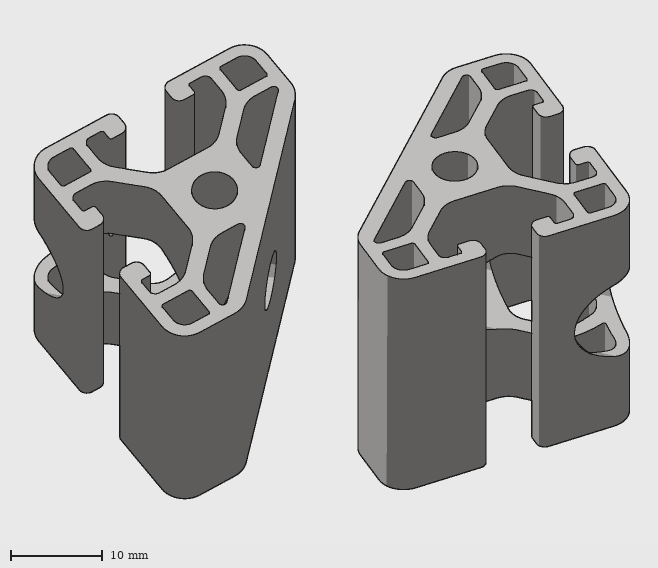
import math

import cadquery as cq

size = 30.0
length = 30.0
middle = size / 2
diagonal_cut = 38.8
outer_radius = 3.0

wall = 1.5
sloping_wall = 2.0
core_half = 5.2
edge_radius = 0.3

slot_half_opening = 3.1
lip_width = 2.5
lip_height = 3.0
lip_radius = 1.0
slot_half_width = 8.125
slot_floor = middle - core_half
slot_slope_end = 3.8
slope_radius = 3.0
slot_corner_radius = 0.8

tip_radius = 0.5

tube_end = middle - slot_half_width - wall
tube_radius = outer_radius - wall

bore_diameter = 5.0
access_hole_diameter = 6.6
counterbore_diameter = 11.0
counterbore_floor = middle * math.sqrt(2) + bore_diameter / 2


def rounded_outline(corners):
    """Closed wire through (x, y, radius) corners, each rounded by a tangent arc."""
    starts, middles, ends = [], [], []
    count = len(corners)
    for i, (x, y, radius) in enumerate(corners):
        corner = cq.Vector(x, y)
        before = (cq.Vector(*corners[i - 1][:2]) - corner).normalized()
        after = (cq.Vector(*corners[(i + 1) % count][:2]) - corner).normalized()
        half_angle = before.getAngle(after) / 2
        reach = radius / math.tan(half_angle)
        inset = radius / math.sin(half_angle) - radius
        starts.append(corner + before * reach)
        middles.append(corner + (before + after).normalized() * inset)
        ends.append(corner + after * reach)

    edges = []
    for i in range(count):
        edges.append(cq.Edge.makeThreePointArc(starts[i], middles[i], ends[i]))
        edges.append(cq.Edge.makeLine(ends[i], starts[(i + 1) % count]))
    return cq.Wire.assembleEdges(edges)


def prism(corners):
    """Rounded outline extruded over the full length of the profile."""
    return cq.Workplane(cq.Solid.extrudeLinear(rounded_outline(corners), [], cq.Vector(0, 0, length)))


def mirrored(corners):
    """Corners reflected across the line y = x, in reversed order."""
    return [(y, x, radius) for x, y, radius in reversed(corners)]


def slot_corners():
    """T-slot in the -Y face, from its left mouth edge to its right one."""
    slope_rise = slot_half_width - slot_slope_end
    half = [
        (slot_half_opening, 0, lip_radius),
        (slot_half_opening, lip_height, lip_radius),
        (slot_half_opening + lip_width, lip_height, edge_radius),
        (slot_half_opening + lip_width, wall, edge_radius),
        (slot_half_width, wall, slot_corner_radius),
        (slot_half_width, slot_floor - slope_rise, slope_radius),
        (slot_slope_end, slot_floor, slope_radius),
    ]
    left = [(middle - offset, y, radius) for offset, y, radius in half]
    right = [(middle + offset, y, radius) for offset, y, radius in reversed(half)]
    return left + right


def profile_body():
    """Outer shape of the section with both T-slots in its outline."""
    cut_start = diagonal_cut - size
    slot = slot_corners()
    return prism(
        [(0, 0, outer_radius)]
        + slot
        + [
            (size, 0, outer_radius),
            (size, cut_start, outer_radius),
            (cut_start, size, outer_radius),
            (0, size, outer_radius),
        ]
        + mirrored(slot)
    )


def corner_tube(x, y, x_direction, y_direction):
    """Square tube cavity in the corner at (x, y), opening towards the given directions."""
    near_x = x + wall * x_direction
    near_y = y + wall * y_direction
    far_x = x + tube_end * x_direction
    far_y = y + tube_end * y_direction
    return prism([
        (near_x, near_y, tube_radius),
        (far_x, near_y, edge_radius),
        (far_x, far_y, edge_radius),
        (near_x, far_y, edge_radius),
    ])


def sloping_cavity_corners():
    """Cavity between the sloping outer face and the T-slot in the -X face."""
    left = middle - slot_half_width
    bottom = middle + core_half
    outer_sum = diagonal_cut - sloping_wall * math.sqrt(2)
    slot_slope_sum = slot_floor + middle + slot_slope_end
    inner_sum = slot_slope_sum + sloping_wall * math.sqrt(2)
    return [
        (left, inner_sum - left, slope_radius),
        (inner_sum - bottom, bottom, slope_radius),
        (outer_sum - bottom, bottom, tip_radius),
        (left, outer_sum - left, tip_radius),
    ]


def access_hole(diameter, depth):
    """Cylinder at mid length, running from the square corner along y = x."""
    start = cq.Vector(0, 0, length / 2)
    return cq.Workplane(cq.Solid.makeCylinder(diameter / 2, depth, start, cq.Vector(1, 1, 0)))


result = profile_body()

for tube in (corner_tube(0, 0, 1, 1), corner_tube(size, 0, -1, 1), corner_tube(0, size, 1, -1)):
    result = result.cut(tube)

cavity = sloping_cavity_corners()
result = result.cut(prism(cavity)).cut(prism(mirrored(cavity)))

bore = cq.Workplane().center(middle, middle).circle(bore_diameter / 2).extrude(length)
result = result.cut(bore)

result = result.cut(access_hole(counterbore_diameter, counterbore_floor))
result = result.cut(access_hole(access_hole_diameter, size * math.sqrt(2)))